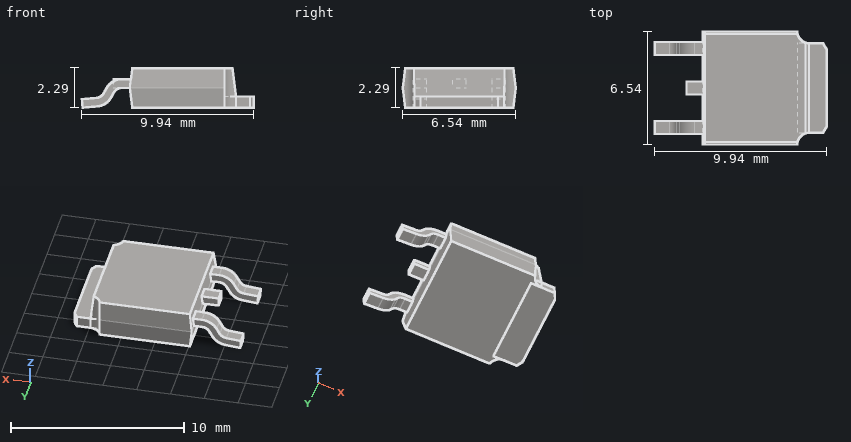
import cadquery as cq
import math

TOTAL_LENGTH = 9.94
HOUSING_WIDTH = 6.54
HOUSING_HEIGHT = 2.29

PARTING_Z = HOUSING_HEIGHT / 2
DRAFT_ANGLE = math.radians(7)
HOUSING_FRONT_X = 2.77
HOUSING_BACK_X = 8.92
DRAFT_INSET = PARTING_Z * math.tan(DRAFT_ANGLE)
NOTCH_RADIUS = 0.68

TAB_THICKNESS = 0.67
TAB_WIDTH = HOUSING_WIDTH - 2 * NOTCH_RADIUS
TAB_ROOT_X = HOUSING_BACK_X - NOTCH_RADIUS
TAB_CORNER_LENGTH = 0.22
TAB_CORNER_WIDTH = 0.37

LEAD_WIDTH = 0.77
LEAD_THICKNESS = 0.51
LEAD_PITCH = 2.28
LEAD_TOP_Z = PARTING_Z + LEAD_THICKNESS
STUB_TIP_X = 1.83
FOOT_LENGTH = 0.86
FOOT_ANGLE = math.radians(5)
SLOPE_ANGLE = math.radians(60)
INNER_BEND = 0.5
OUTER_BEND = INNER_BEND + LEAD_THICKNESS


def side_profile(points):
    """Prism with the given XZ outline, spanning the full housing width."""
    return cq.Workplane("XZ").polyline(points).close().extrude(HOUSING_WIDTH / 2, both=True)


def make_housing(tab):
    """Drafted housing with corner notches and a recess that fits the tab."""
    top_back_x = HOUSING_BACK_X - (HOUSING_HEIGHT - TAB_THICKNESS) * math.tan(DRAFT_ANGLE)
    body = side_profile([
        (HOUSING_FRONT_X + DRAFT_INSET, 0),
        (HOUSING_BACK_X, 0),
        (HOUSING_BACK_X, TAB_THICKNESS),
        (top_back_x, HOUSING_HEIGHT),
        (HOUSING_FRONT_X + DRAFT_INSET, HOUSING_HEIGHT),
        (HOUSING_FRONT_X, PARTING_Z),
    ])
    half_width = HOUSING_WIDTH / 2
    end_section = (
        cq.Workplane("YZ")
        .polyline([
            (-half_width + DRAFT_INSET, 0),
            (half_width - DRAFT_INSET, 0),
            (half_width, PARTING_Z),
            (half_width - DRAFT_INSET, HOUSING_HEIGHT),
            (-half_width + DRAFT_INSET, HOUSING_HEIGHT),
            (-half_width, PARTING_Z),
        ])
        .close()
        .extrude(TOTAL_LENGTH)
    )
    notches = (
        cq.Workplane("XY")
        .pushPoints([(HOUSING_BACK_X, side * half_width) for side in (-1, 1)])
        .circle(NOTCH_RADIUS)
        .extrude(HOUSING_HEIGHT)
    )
    return body.intersect(end_section).cut(notches).cut(tab)


def make_tab():
    half_width = TAB_WIDTH / 2
    corner_x = TOTAL_LENGTH - TAB_CORNER_LENGTH
    corner_y = half_width - TAB_CORNER_WIDTH
    return (
        cq.Workplane("XY")
        .polyline([
            (TAB_ROOT_X, -half_width),
            (corner_x, -half_width),
            (TOTAL_LENGTH, -corner_y),
            (TOTAL_LENGTH, corner_y),
            (corner_x, half_width),
            (TAB_ROOT_X, half_width),
        ])
        .close()
        .extrude(TAB_THICKNESS)
    )


def on_arc(center, radius, angle):
    """Point on a bend where its surface has the given slope; a negative radius lies below the center."""
    return (center[0] - radius * math.sin(angle), center[1] + radius * math.cos(angle))


def make_lead(center_y, housing):
    """Gull-wing lead, ending flush against the drafted housing wall."""
    tip_top = (0, LEAD_THICKNESS * math.cos(FOOT_ANGLE))
    tip_bottom = (LEAD_THICKNESS * math.sin(FOOT_ANGLE), 0)
    foot_end_x = FOOT_LENGTH * math.cos(FOOT_ANGLE)
    foot_end_z = tip_top[1] + FOOT_LENGTH * math.sin(FOOT_ANGLE)

    low_center = on_arc((foot_end_x, foot_end_z), INNER_BEND, FOOT_ANGLE)
    slope_start = on_arc(low_center, -INNER_BEND, SLOPE_ANGLE)

    high_center_z = LEAD_TOP_Z - OUTER_BEND
    slope_end_z = high_center_z + OUTER_BEND * math.cos(SLOPE_ANGLE)
    slope_end_x = slope_start[0] + (slope_end_z - slope_start[1]) / math.tan(SLOPE_ANGLE)
    high_center = (slope_end_x + OUTER_BEND * math.sin(SLOPE_ANGLE), high_center_z)

    low_middle = (FOOT_ANGLE + SLOPE_ANGLE) / 2
    high_middle = SLOPE_ANGLE / 2
    root_x = HOUSING_FRONT_X + DRAFT_INSET
    blank = (
        cq.Workplane("XZ", origin=(0, center_y, 0))
        .moveTo(*tip_top)
        .lineTo(foot_end_x, foot_end_z)
        .threePointArc(on_arc(low_center, -INNER_BEND, low_middle), slope_start)
        .lineTo(slope_end_x, slope_end_z)
        .threePointArc(on_arc(high_center, OUTER_BEND, high_middle), on_arc(high_center, OUTER_BEND, 0))
        .lineTo(root_x, LEAD_TOP_Z)
        .lineTo(root_x, PARTING_Z)
        .lineTo(*on_arc(high_center, INNER_BEND, 0))
        .threePointArc(
            on_arc(high_center, INNER_BEND, high_middle), on_arc(high_center, INNER_BEND, SLOPE_ANGLE)
        )
        .lineTo(*on_arc(low_center, -OUTER_BEND, SLOPE_ANGLE))
        .threePointArc(
            on_arc(low_center, -OUTER_BEND, low_middle), on_arc(low_center, -OUTER_BEND, FOOT_ANGLE)
        )
        .lineTo(*tip_bottom)
        .close()
        .extrude(LEAD_WIDTH / 2, both=True)
    )
    return blank.cut(housing)


def make_stub(housing):
    """Cropped middle lead, ending flush against the drafted housing wall."""
    root_x = HOUSING_FRONT_X + DRAFT_INSET
    blank = cq.Workplane("XY").box(
        root_x - STUB_TIP_X, LEAD_WIDTH, LEAD_THICKNESS, centered=(False, True, False)
    )
    return blank.translate((STUB_TIP_X, 0, PARTING_Z)).cut(housing)


tab = make_tab()
housing = make_housing(tab)
stub = make_stub(housing)
leads = [make_lead(side * LEAD_PITCH, housing) for side in (-1, 1)]

result = cq.Compound.makeCompound([
    housing.val(),
    tab.val(),
    stub.val(),
    *[lead.val() for lead in leads],
])